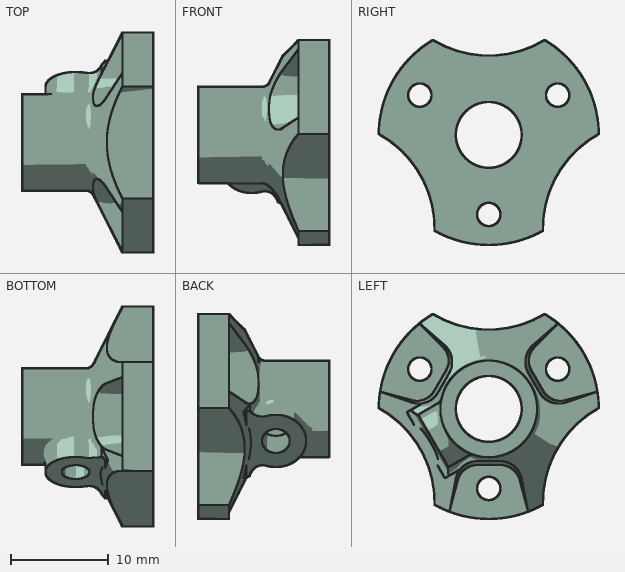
import cadquery as cq
import math

length = 13.48
rim_thickness = 3.2
rim_front = length - rim_thickness
cone_rise_per_radius = 0.505
cone_angle = math.atan2(1, cone_rise_per_radius)

outer_radius = 11.3
tube_radius = 9.93 / 2
bore_diameter = 6.75
neck_fillet = 0.8

lobe_count = 3
scallop_depth_radius = 8.15
scallop_radius = 11.05

first_lobe_angle = 30
screw_hole_diameter = 2.38
screw_circle_radius = 8.17
pocket_inner_radius = 5.77
pocket_inner_half_width = 2.75
pocket_side_angle = 15
pocket_corner_radius = 2.01
pocket_draft = 8

boss_angle = -30
boss_width = 6.22
boss_end = 6.58
boss_center_x = 5.5
boss_fillet = 0.68
flank_radius = 1.35
flare_start_angle = 17.8
flare_end_angle = 75
end_blend_radius = 1.58
blend_side = 2.26
cross_hole_diameter = 2.85


def turned(shape, angle):
    """Turn a shape about the hub axis; angle 0 is +Y and 90 is +Z."""
    return shape.rotate((0, 0, 0), (1, 0, 0), angle)


def disc(x_start, x_end, diameter, y=0):
    """Round bar along X, offset along Y."""
    return (
        cq.Workplane("YZ", origin=(x_start, y, 0))
        .circle(diameter / 2)
        .extrude(x_end - x_start)
    )


def make_hub():
    """Tube, filleted neck, cone and rim as one revolved profile."""
    neck_x = rim_front - (outer_radius - tube_radius) * cone_rise_per_radius
    setback = neck_fillet * math.tan(cone_angle / 2)
    middle = cone_angle / 2
    arc_start_x = neck_x - setback
    arc_center_radius = tube_radius + neck_fillet
    arc_middle = (
        arc_start_x + neck_fillet * math.sin(middle),
        arc_center_radius - neck_fillet * math.cos(middle),
    )
    arc_end = (
        arc_start_x + neck_fillet * math.sin(cone_angle),
        arc_center_radius - neck_fillet * math.cos(cone_angle),
    )
    return (
        cq.Workplane("XY")
        .moveTo(0, 0)
        .lineTo(0, tube_radius)
        .lineTo(arc_start_x, tube_radius)
        .threePointArc(arc_middle, arc_end)
        .lineTo(rim_front, outer_radius)
        .lineTo(length, outer_radius)
        .lineTo(length, 0)
        .close()
        .revolve(360, (0, 0, 0), (1, 0, 0))
    )


def make_boss():
    """Radial round boss that flares sideways and outward where it meets the cone."""
    boss_radius = boss_width / 2
    flare_start = math.radians(flare_start_angle)
    flare_end = math.radians(flare_end_angle)
    flare_center_x = boss_center_x + (boss_radius + flank_radius) * math.sin(flare_start)
    flare_center_side = (boss_radius + flank_radius) * math.cos(flare_start)

    def flank_point(angle, side):
        x = flare_center_x + flank_radius * math.sin(angle)
        return (x, side * (flare_center_side - flank_radius * math.cos(angle)))

    start_x, start_side = flank_point(-flare_start, 1)
    middle_angle = (flare_end - flare_start) / 2
    end_side = flank_point(flare_end, 1)[1]
    outline = (
        cq.Workplane("XZ")
        .moveTo(rim_front, end_side)
        .lineTo(*flank_point(flare_end, 1))
        .threePointArc(flank_point(middle_angle, 1), (start_x, start_side))
        .threePointArc((boss_center_x - boss_radius, 0), (start_x, -start_side))
        .threePointArc(flank_point(middle_angle, -1), flank_point(flare_end, -1))
        .lineTo(rim_front, -end_side)
        .close()
        .extrude(-outer_radius)
    )

    corner_radius = math.hypot(boss_end, blend_side)
    corner_x = rim_front - (outer_radius - corner_radius) * cone_rise_per_radius
    setback = end_blend_radius * math.tan(cone_angle / 2)
    blend_start_x = corner_x - setback
    blend_center = boss_end + end_blend_radius

    def blend_point(angle):
        x = blend_start_x + end_blend_radius * math.sin(angle)
        return (x, blend_center - end_blend_radius * math.cos(angle))

    limit = (
        cq.Workplane("XY")
        .moveTo(0, 0)
        .lineTo(0, boss_end)
        .lineTo(blend_start_x, boss_end)
        .threePointArc(blend_point(cone_angle / 2), blend_point(cone_angle))
        .lineTo(rim_front, blend_point(cone_angle)[1])
        .lineTo(rim_front, 0)
        .close()
        .extrude(outer_radius, both=True)
    )
    return turned(outline.intersect(limit), boss_angle)


def add_boss(hub):
    """Join the boss and round the corner where it meets the tube."""
    boss = make_boss()
    joined = hub.union(boss)
    margin = 0.002
    seam = []
    for edge in joined.edges().vals():
        point = edge.positionAt(0.5)
        on_tube = abs(math.hypot(point.y, point.z) - tube_radius) < margin
        vertex = cq.Vertex.makeVertex(*point.toTuple())
        on_boss = any(vertex.distance(face) < margin for face in boss.faces().vals())
        if on_tube and on_boss and edge.geomType() != "CIRCLE":
            seam.append(edge)
    return joined.newObject(seam).fillet(boss_fillet)


def make_pocket():
    """Drafted pocket open at the rim, with its inner corners rounded."""
    reach = 1.4 * outer_radius
    spread = (reach - pocket_inner_radius) * math.tan(math.radians(pocket_side_angle))
    outer_half_width = pocket_inner_half_width + spread
    inner_corners = [
        (pocket_inner_radius, -pocket_inner_half_width),
        (pocket_inner_radius, pocket_inner_half_width),
    ]
    outer_corners = [(reach, outer_half_width), (reach, -outer_half_width)]
    outline = cq.Sketch().polygon(inner_corners + outer_corners + inner_corners[:1])
    outline = outline.vertices("<X").fillet(pocket_corner_radius)
    return (
        cq.Workplane("YZ", origin=(rim_front, 0, 0))
        .placeSketch(outline)
        .extrude(-rim_front / 2, taper=-pocket_draft)
    )


hub = add_boss(make_hub())

scallop_offset = scallop_depth_radius + scallop_radius
scallop = disc(0, length, 2 * scallop_radius, scallop_offset)
screw_hole = disc(rim_front, length, screw_hole_diameter, screw_circle_radius)
pocket = make_pocket()
for index in range(lobe_count):
    lobe_angle = first_lobe_angle + index * 360 / lobe_count
    scallop_angle = lobe_angle + 180 / lobe_count
    hub = hub.cut(turned(scallop, scallop_angle))
    hub = hub.cut(turned(pocket, lobe_angle))
    hub = hub.cut(turned(screw_hole, lobe_angle))

cross_hole = (
    cq.Workplane("XZ")
    .center(boss_center_x, 0)
    .circle(cross_hole_diameter / 2)
    .extrude(-outer_radius)
)
hub = hub.cut(disc(0, length, bore_diameter))
result = hub.cut(turned(cross_hole, boss_angle))